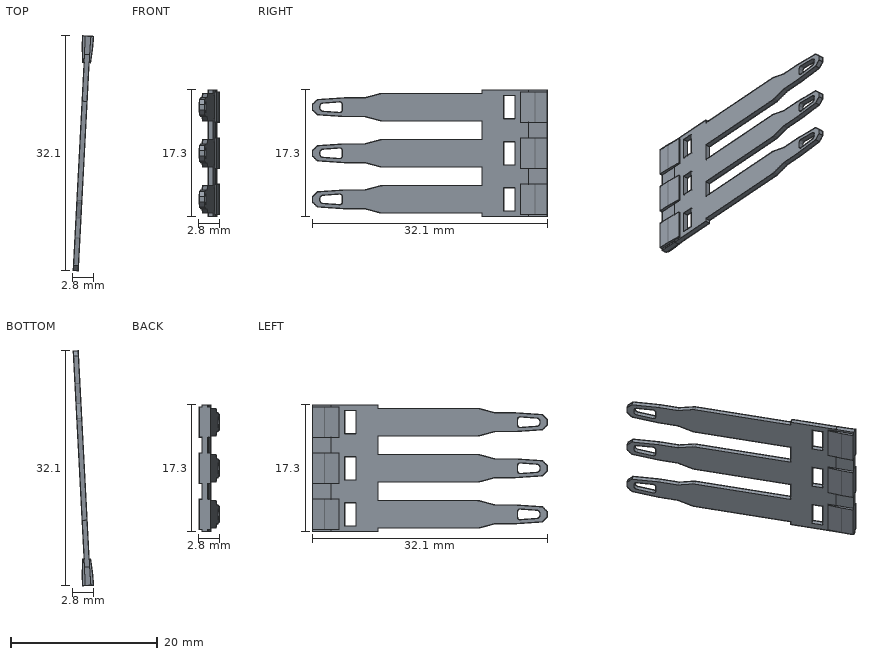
import cadquery as cq
import math

overall_length = 32.1
tilt = 3.0
arm_count = 3
arm_pitch = 6.3
plate_height = 17.3

comb_thickness = 0.7
shoulder_at = 8.93
arm_width = 3.8
neck_start_at = 22.67
neck_end_at = 24.9
neck_radius = 1.3
neck_width = 2.6
point_taper_at = 27.6
point_chamfer_at = 31.4
point_chamfer_width = 2.1
tip_width = 0.75

window_start_at = 4.4
window_length = 1.55
window_height = 3.15

eye_start_at = 28.03
eye_end_at = 31.08
eye_start_width = 1.48
eye_end_width = 1.03
eye_start_radius = 0.32
eye_end_radius = 0.42

head_length = 2.55
head_root_thickness = 0.77
pad_height = 4.17
pad_length = 3.63
pad_bend_at = 1.65
pad_root_thickness = 1.55
pad_bend_thickness = 1.45
pad_end_thickness = 1.1

tilt_rad = math.radians(tilt)
corner_rise = (pad_root_thickness + comb_thickness) / 2 * math.sin(tilt_rad)
tip_at = (overall_length - corner_rise) / math.cos(tilt_rad)

arm_heights = [(i - (arm_count - 1) / 2) * arm_pitch for i in range(arm_count)]


def mirrored_outline(half_outline):
    """Closes a list of (distance from the root, half width) points about the centre line.

    The distance runs along -Y.
    """
    one_side = [(half_width, -distance) for distance, half_width in half_outline]
    other_side = [(-across, along) for across, along in reversed(one_side)]
    return one_side + other_side


def flat_prism(half_outline, thickness, z=0.0):
    """Prism of a Y-Z outline centred at height z, as thick as given in X."""
    points = [(along, z + across) for across, along in mirrored_outline(half_outline)]
    return cq.Workplane("YZ").polyline(points).close().extrude(thickness / 2, both=True)


def upright_prism(half_outline, height, z=0.0):
    """Prism of an X-Y outline centred at height z, as high as given in Z."""
    outline = cq.Workplane("XY", origin=(0, 0, z)).polyline(mirrored_outline(half_outline))
    return outline.close().extrude(height / 2, both=True)


def make_arm(z):
    arm = flat_prism(
        [
            (shoulder_at, arm_width / 2),
            (neck_start_at, arm_width / 2),
            (neck_end_at, neck_width / 2),
            (point_taper_at, neck_width / 2),
            (point_chamfer_at, point_chamfer_width / 2),
            (tip_at, tip_width / 2),
        ],
        comb_thickness,
        z,
    )
    neck_corners = cq.selectors.BoxSelector(
        (-comb_thickness, -neck_start_at - neck_radius / 2, z - arm_width),
        (comb_thickness, -neck_start_at + neck_radius / 2, z + arm_width),
    )
    return arm.edges("|X").edges(neck_corners).fillet(neck_radius)


def make_window(z):
    window_end_at = window_start_at + window_length
    half_outline = [(window_start_at, window_height / 2), (window_end_at, window_height / 2)]
    return flat_prism(half_outline, comb_thickness, z)


def make_eye(z):
    half_outline = [(eye_start_at, eye_start_width / 2), (eye_end_at, eye_end_width / 2)]
    eye = flat_prism(half_outline, comb_thickness, z)
    eye = eye.edges("|X").edges(">Y").fillet(eye_start_radius)
    return eye.edges("|X").edges("<Y").fillet(eye_end_radius)


def make_comb():
    comb = flat_prism([(head_length, plate_height / 2), (shoulder_at, plate_height / 2)], comb_thickness)
    for z in arm_heights:
        comb = comb.union(make_arm(z))
        comb = comb.cut(make_window(z)).cut(make_eye(z))
    return comb


def make_pad(z):
    return upright_prism(
        [
            (0, pad_root_thickness / 2),
            (pad_bend_at, pad_bend_thickness / 2),
            (pad_length, pad_end_thickness / 2),
        ],
        pad_height,
        z,
    )


def make_head(comb):
    half_outline = [(0, head_root_thickness / 2), (head_length, comb_thickness / 2)]
    head = upright_prism(half_outline, plate_height)
    for z in arm_heights:
        head = head.union(make_pad(z))
    return head.cut(comb)


def leaned(body):
    return body.rotate((0, 0, 0), (0, 0, 1), -tilt)


upright_comb = make_comb()
head = leaned(make_head(upright_comb))
comb = leaned(upright_comb)

result = cq.Compound.makeCompound([*comb.solids().vals(), *head.solids().vals()])